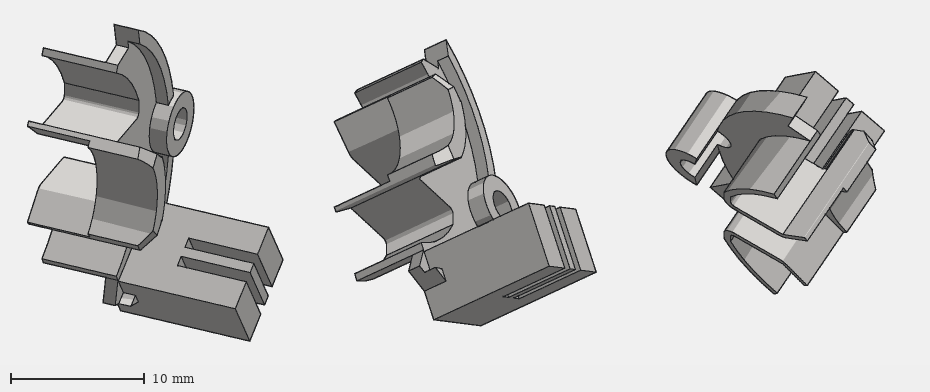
import cadquery as cq
import math


overall_height = 25.9

ring_radius = 14.0
rim_inner_radius = 13.0
web_inner_radius = 11.09
half_angle = 58.6
joint_angle_step = 6.6
joint_radius = 12.55
web_end_x = 1.0
rim_end_x = 2.0

liner_start_x = -5.1
liner_inner_radius = 10.5
liner_floor_y = 10.2
liner_wall = 0.6
beam_half_height = 2.25
beam_wall = 0.55
window_fillet = 0.45

kink_y = 5.0
arm_tip_y = 3.08
arm_tip_z = 4.55
arm_wall = 0.41
kink_fillet = 1.05
arm_tip_fillet = 0.08

saddle_radius = 5.15
saddle_floor_y = 4.2
saddle_wall = 1.5
saddle_tip_y = 2.55
saddle_tip_z = 3.8
saddle_end_x = 4.95
tip_chamfer_x = 0.93
tip_chamfer_along_arm = 1.45
saddle_root_chamfer = 0.18
saddle_root_angle = 45

boss_radius = 2.5
boss_hole_radius = 1.25
boss_start_x = -3.19
boss_end_x = 2.43

block_inner_radius = 11.21
block_width = 7.15
block_end_x = 10.6
slot_width = 0.8
slot_pitch = 1.6
slot_start_x = 4.95

block_outer_radius = overall_height / math.sin(math.radians(half_angle)) - ring_radius
block_middle_radius = (block_inner_radius + block_outer_radius) / 2
block_height = block_outer_radius - block_inner_radius
window_half_height = beam_half_height + beam_wall
window_floor_y = liner_floor_y - liner_wall
saddle_center_y = saddle_floor_y - saddle_radius
arm_length = math.hypot(kink_y - arm_tip_y, arm_tip_z - window_half_height)
arm_dir_y = (arm_tip_y - kink_y) / arm_length
arm_dir_z = (arm_tip_z - window_half_height) / arm_length
tip_face_share = arm_wall / math.hypot(saddle_tip_y - arm_tip_y, saddle_tip_z - arm_tip_z)
sheet_tip_y = arm_tip_y + tip_face_share * (saddle_tip_y - arm_tip_y)
sheet_tip_z = arm_tip_z + tip_face_share * (saddle_tip_z - arm_tip_z)
inner_kink_y = sheet_tip_y - arm_dir_y / arm_dir_z * (sheet_tip_z - beam_half_height)


def polar(radius, degrees):
    """Point (y, z) at a radius and an angle measured from +Y."""
    angle = math.radians(degrees)
    return radius * math.cos(angle), radius * math.sin(angle)


def plane_at(x):
    """Sketch plane with local axes along Y and Z, facing +X."""
    return cq.Workplane("YZ", origin=(x, 0, 0))


def disc(radius, start_x, end_x, center_y=0):
    return plane_at(start_x).center(center_y, 0).circle(radius).extrude(end_x - start_x)


def mirrored(upper):
    """The upper solid together with its mirror image below Z = 0."""
    return upper.union(upper.mirror("XY"))


def ring_segment(inner_radius, start_x, end_x):
    """Ring segment with a notch in its upper end and a matching tab on its lower end."""
    profile = (
        plane_at(start_x)
        .moveTo(*polar(ring_radius, -half_angle))
        .threePointArc((ring_radius, 0), polar(ring_radius, half_angle))
        .lineTo(*polar(joint_radius, half_angle - joint_angle_step))
        .lineTo(*polar(web_inner_radius, half_angle))
        .threePointArc((web_inner_radius, 0), polar(web_inner_radius, -half_angle))
        .lineTo(*polar(joint_radius, -half_angle - joint_angle_step))
        .close()
    )
    segment = profile.extrude(end_x - start_x)
    return segment.cut(disc(inner_radius, start_x, end_x))


def arc_corner(radius, floor_y):
    """Z at which an arc about the ring axis meets a straight floor."""
    return math.sqrt(radius**2 - floor_y**2)


def round_long_edge(body, y, z, radius):
    """Fillet the edge parallel to X that passes through (y, z)."""
    box = body.val().BoundingBox()
    middle = ((box.xmin + box.xmax) / 2, y, z)
    return body.edges("|X").edges(cq.selectors.NearestToPointSelector(middle)).fillet(radius)


def window_outline(radius, floor_y, beam_face_z):
    """Upper window outline, from the ring joint round to the beam face, left open for the arm."""
    corner = (floor_y, arc_corner(radius, floor_y))
    middle_angle = (half_angle + math.degrees(math.atan2(corner[1], corner[0]))) / 2
    return (
        plane_at(liner_start_x)
        .moveTo(*polar(radius, half_angle))
        .threePointArc(polar(radius, middle_angle), corner)
        .lineTo(floor_y, beam_face_z)
    )


def upper_window():
    """Open space inside the upper liner."""
    window = (
        window_outline(liner_inner_radius, window_floor_y, window_half_height)
        .lineTo(kink_y, window_half_height)
        .lineTo(arm_tip_y, arm_tip_z)
        .close()
        .extrude(web_end_x - liner_start_x)
    )
    return round_long_edge(window, window_floor_y, window_half_height, window_fillet)


def upper_liner():
    """Wall that follows the upper window: ring arc, floor, beam face and flared arm."""
    outer = (
        window_outline(web_inner_radius, liner_floor_y, beam_half_height)
        .lineTo(inner_kink_y, beam_half_height)
        .lineTo(sheet_tip_y, sheet_tip_z)
        .lineTo(arm_tip_y, arm_tip_z)
        .close()
        .extrude(web_end_x - liner_start_x)
    )
    outer = round_long_edge(outer, liner_floor_y, beam_half_height, window_fillet + beam_wall)
    outer = round_long_edge(outer, inner_kink_y, beam_half_height, kink_fillet)
    return round_long_edge(outer.cut(upper_window()), arm_tip_y, arm_tip_z, arm_tip_fillet)


def beam(start_x, end_x):
    """Solid beam from the ring to the saddle, including both arms."""
    body = (
        plane_at(start_x)
        .moveTo(web_inner_radius, window_half_height)
        .lineTo(kink_y, window_half_height)
        .lineTo(arm_tip_y, arm_tip_z)
        .lineTo(saddle_tip_y, saddle_tip_z)
        .threePointArc((saddle_floor_y, 0), (saddle_tip_y, -saddle_tip_z))
        .lineTo(arm_tip_y, -arm_tip_z)
        .lineTo(kink_y, -window_half_height)
        .lineTo(web_inner_radius, -window_half_height)
        .close()
        .extrude(end_x - start_x)
    )
    for tip_z in (arm_tip_z, -arm_tip_z):
        body = round_long_edge(body, arm_tip_y, tip_z, arm_tip_fillet)
    return body


def web_beam():
    """Web between the ring and the saddle, with the window corners rounded."""
    root = (
        plane_at(0)
        .center((window_floor_y + rim_inner_radius) / 2, 0)
        .rect(rim_inner_radius - window_floor_y, 2 * arc_corner(web_inner_radius, liner_floor_y))
        .extrude(web_end_x)
    )
    return beam(0, web_end_x).union(root).cut(mirrored(upper_window()))


def saddle():
    """Shell behind the web with the +X corners of both arm tips bevelled."""
    outer_radius = saddle_radius + saddle_wall
    root = (
        plane_at(web_end_x)
        .center(saddle_center_y, 0)
        .circle(outer_radius + saddle_root_chamfer)
        .extrude(saddle_root_chamfer, taper=saddle_root_angle)
    )
    back = disc(outer_radius, web_end_x, saddle_end_x, saddle_center_y).union(root)
    shell = beam(web_end_x, saddle_end_x).intersect(back)
    along_arm = cq.Plane(
        origin=(saddle_end_x, arm_tip_y, arm_tip_z),
        xDir=(-1, 0, 0),
        normal=(0, -arm_dir_z, arm_dir_y),
    )
    bevel = (
        cq.Workplane(along_arm)
        .polyline([
            (tip_chamfer_x, 0),
            (0, tip_chamfer_along_arm),
            (-tip_chamfer_x, tip_chamfer_along_arm),
            (-tip_chamfer_x, -tip_chamfer_along_arm),
            (tip_chamfer_x, -tip_chamfer_along_arm),
        ])
        .close()
        .extrude(saddle_wall, both=True)
    )
    return shell.cut(mirrored(bevel))


def hinge_boss():
    """Boss on the outer ring surface; ahead of the web only its part outside the ring remains."""
    boss = disc(boss_radius, boss_start_x, boss_end_x, ring_radius)
    return boss.cut(disc(ring_radius, boss_start_x, 0))


def slotted_block():
    """Block on the lower radial end plane of the ring, with two through slots open toward +X."""
    block = (
        plane_at(0)
        .center(block_middle_radius, block_width / 2)
        .rect(block_height, block_width)
        .extrude(block_end_x)
    )
    slots = (
        plane_at(slot_start_x)
        .center(block_middle_radius, block_width / 2)
        .pushPoints([(0, -slot_pitch / 2), (0, slot_pitch / 2)])
        .rect(block_height, slot_width)
        .extrude(block_end_x - slot_start_x)
    )
    return block.cut(slots).rotate((0, 0, 0), (1, 0, 0), -half_angle)


result = (
    ring_segment(web_inner_radius, 0, web_end_x)
    .union(ring_segment(rim_inner_radius, web_end_x, rim_end_x))
    .union(web_beam())
    .union(mirrored(upper_liner()))
    .union(saddle())
    .union(hinge_boss())
    .union(slotted_block())
    .cut(disc(boss_hole_radius, boss_start_x, boss_end_x, ring_radius))
    .solids()
)